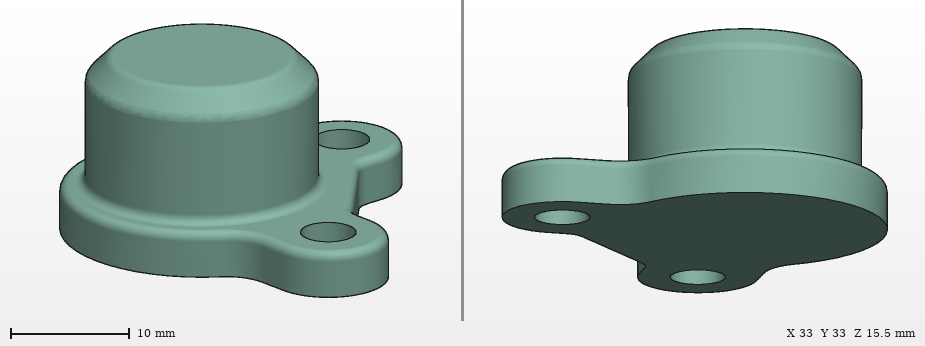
import cadquery as cq
import math


flange_radius = 12.0
flange_height = 4.0
flange_edge_fillet = 0.8

ear_radius = 5.08
ear_distance = 15.9
ear_hole_diameter = 4.7
ear_root_fillet = 4.0
ear_angles = (0, 90)

web_distance = 13.0
web_corner_fillet = 2.0

barrel_diameter = 19.7
total_height = 15.5
barrel_chamfer = 2.0
barrel_edge_fillet = 1.0
barrel_root_fillet = flange_edge_fillet


def make_ear(angle):
    """Straight-sided ear with a round end, reaching out from the axis."""
    strip = cq.Workplane("XY").rect(ear_distance, 2 * ear_radius).extrude(flange_height)
    strip = strip.translate((ear_distance / 2, 0, 0))
    end = cq.Workplane("XY").center(ear_distance, 0).circle(ear_radius).extrude(flange_height)
    return strip.union(end).rotate((0, 0, 0), (0, 0, 1), angle)


def fillet_vertical_edges(body, points, radius):
    """Round the vertical edge that lies nearest to each plan point."""
    for x, y in points:
        nearest = cq.selectors.NearestToPointSelector((x, y, flange_height / 2))
        body = body.edges("|Z").edges(nearest).fillet(radius)
    return body


def make_flange():
    """Round flange with two ears joined by a diagonal web."""
    web_corner = math.sqrt(2) * web_distance - ear_radius
    web_corners = [(web_corner, ear_radius), (ear_radius, web_corner)]

    ear_root = math.sqrt(flange_radius**2 - ear_radius**2)
    ear_roots = [(ear_root, -ear_radius), (-ear_radius, ear_root)]

    flange = cq.Workplane("XY").circle(flange_radius).extrude(flange_height)
    for angle in ear_angles:
        flange = flange.union(make_ear(angle))
    web = cq.Workplane("XY").polyline([(0, 0), *web_corners]).close().extrude(flange_height)
    flange = flange.union(web).clean()

    flange = fillet_vertical_edges(flange, web_corners, web_corner_fillet)
    flange = fillet_vertical_edges(flange, ear_roots, ear_root_fillet)
    return flange.faces(">Z").edges().fillet(flange_edge_fillet)


def make_barrel():
    """Closed barrel with a chamfered top whose two edges are rounded."""
    barrel = cq.Workplane("XY").circle(barrel_diameter / 2).extrude(total_height)
    barrel = barrel.faces(">Z").edges().chamfer(barrel_chamfer)
    chamfer_bottom = total_height - barrel_chamfer
    chamfer_edges = cq.selectors.BoxSelector(
        (-barrel_diameter, -barrel_diameter, chamfer_bottom - barrel_edge_fillet),
        (barrel_diameter, barrel_diameter, total_height + barrel_edge_fillet),
    )
    return barrel.edges("%CIRCLE").edges(chamfer_edges).fillet(barrel_edge_fillet)


def make_root_fillet():
    """Concave ring that blends the barrel into the flange top."""
    inner = barrel_diameter / 2
    outer = inner + barrel_root_fillet
    top = flange_height + barrel_root_fillet
    arc_reach = barrel_root_fillet * math.sqrt(0.5)
    return (
        cq.Workplane("XZ")
        .moveTo(0, flange_height)
        .lineTo(outer, flange_height)
        .threePointArc((outer - arc_reach, top - arc_reach), (inner, top))
        .lineTo(0, top)
        .close()
        .revolve(360, (0, 0, 0), (0, 1, 0))
    )


def make_housing():
    """Flanged housing: flange, barrel and the two ear holes."""
    housing = make_flange().union(make_barrel()).union(make_root_fillet())
    holes = (
        cq.Workplane("XY")
        .pushPoints([(ear_distance, 0), (0, ear_distance)])
        .circle(ear_hole_diameter / 2)
        .extrude(flange_height)
    )
    return housing.cut(holes)


housing = make_housing()

result = cq.Compound.makeCompound([housing.solids().val()])